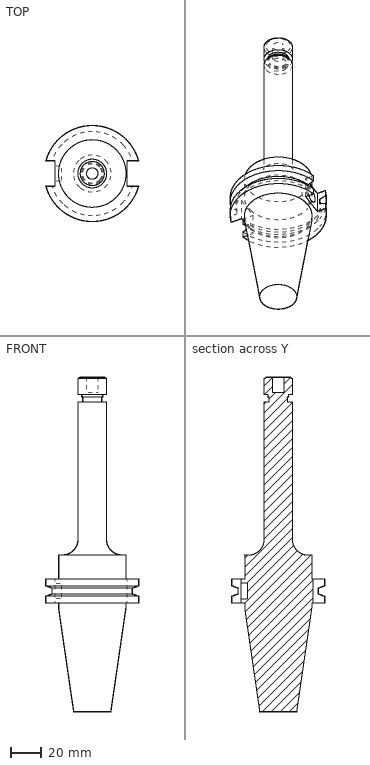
import cadquery as cq
import math

total_height = 220.6
gauge_height = 68.5
collar_height = 3.3
flange_thickness = 15.9
hub_height = 15.9

hub_radius = 22.3
taper_ratio = 7 / 24
taper_tip_radius = hub_radius - gauge_height * taper_ratio / 2
flange_diameter = 63.5
flange_radius = flange_diameter / 2
groove_floor_radius = 27.8
groove_floor_width = 3.8
groove_mouth_width = 6.8

shank_radius = 9.5
root_fillet = 10.1
head_height = 11.5
head_chamfer_width = 1.5
head_chamfer_height = 0.9
neck_gap = 4.9
neck_radius = 6.5
neck_shoulder_radius = 7.0
neck_shoulder_height = 1.5
bore_radius = 3.8
bore_depth = 10.0

slot_width = 16.5
left_slot_floor = 24.7
right_slot_floor = 23.0
dimple_radius = 5.0
dimple_depth = 4.5

flange_bottom = gauge_height + collar_height
flange_middle = flange_bottom + flange_thickness / 2
flange_top = flange_bottom + flange_thickness
hub_top = flange_top + hub_height
head_bottom = total_height - head_height
shank_top = head_bottom - neck_gap
shoulder_bottom = head_bottom - neck_shoulder_height


def turned_body():
    """Revolve the half outline, from the taper tip up to the head."""
    fillet_offset = root_fillet * (1 - math.sqrt(0.5))
    return (
        cq.Workplane("XZ")
        .moveTo(0, 0)
        .lineTo(taper_tip_radius, 0)
        .lineTo(hub_radius, gauge_height)
        .lineTo(hub_radius, flange_bottom)
        .lineTo(flange_radius, flange_bottom)
        .lineTo(flange_radius, flange_middle - groove_mouth_width / 2)
        .lineTo(groove_floor_radius, flange_middle - groove_floor_width / 2)
        .lineTo(groove_floor_radius, flange_middle + groove_floor_width / 2)
        .lineTo(flange_radius, flange_middle + groove_mouth_width / 2)
        .lineTo(flange_radius, flange_top)
        .lineTo(hub_radius, flange_top)
        .lineTo(hub_radius, hub_top)
        .lineTo(shank_radius + root_fillet, hub_top)
        .threePointArc(
            (shank_radius + fillet_offset, hub_top + fillet_offset),
            (shank_radius, hub_top + root_fillet),
        )
        .lineTo(shank_radius, shank_top)
        .lineTo(neck_radius, shank_top)
        .lineTo(neck_radius, shoulder_bottom)
        .lineTo(neck_shoulder_radius, shoulder_bottom)
        .lineTo(neck_shoulder_radius, head_bottom)
        .lineTo(shank_radius, head_bottom)
        .lineTo(shank_radius, total_height - head_chamfer_height)
        .lineTo(shank_radius - head_chamfer_width, total_height)
        .lineTo(0, total_height)
        .close()
        .revolve(360, (0, 0, 0), (0, 1, 0))
    )


def drive_slot(side, floor_distance):
    """Cutter for one slot; side is -1 for -X and +1 for +X."""
    return (
        cq.Workplane("XY")
        .box(flange_radius, slot_width, flange_thickness)
        .translate((side * (floor_distance + flange_radius / 2), 0, flange_middle))
    )


def slot_dimple():
    """Cutter for the round blind hole in the floor of the -X slot."""
    return (
        cq.Workplane("YZ", origin=(-left_slot_floor, 0, flange_middle))
        .circle(dimple_radius)
        .extrude(dimple_depth)
    )


def head_bore():
    """Cutter for the blind bore in the top of the head."""
    return (
        cq.Workplane("XY", origin=(0, 0, total_height - bore_depth))
        .circle(bore_radius)
        .extrude(bore_depth)
    )


result = (
    turned_body()
    .cut(drive_slot(-1, left_slot_floor))
    .cut(drive_slot(1, right_slot_floor))
    .cut(slot_dimple())
    .cut(head_bore())
)